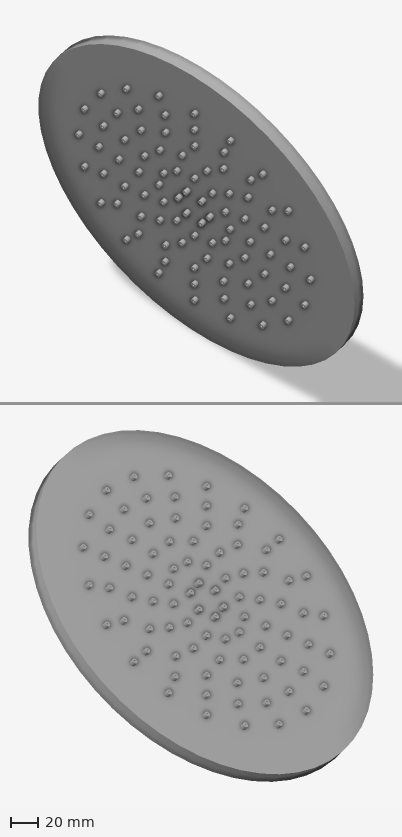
import cadquery as cq

disc_diameter = 300.0
disc_thickness = 10.5

collar_diameter = 36.0
collar_length = 17.0
neck_base_diameter = 19.2
neck_length = 4.8
socket_diameter = 23.5
socket_length = 12.0

nozzle_diameter = 4.5
nozzle_length = 3.5
inner_nozzle_length = 4.5
jet_diameter = 1.5
inner_ring_radius = 14.7
outer_ring_radius = 109.8
nozzles_per_ring = [6, 12, 14, 16, 20, 20]
ring_pitch = (outer_ring_radius - inner_ring_radius) / (len(nozzles_per_ring) - 1)


def cylinder_along_y(diameter, y_start, length):
    """Solid cylinder on the Y axis, running toward +Y from y_start."""
    start_plane = cq.Workplane("XZ", origin=(0, y_start, 0))
    return start_plane.circle(diameter / 2).extrude(-length)


def make_connector():
    """Collar, conical neck and socket cylinder as one revolved profile."""
    collar_end = disc_thickness + collar_length
    neck_end = collar_end + neck_length
    socket_end = neck_end + socket_length
    return (
        cq.Workplane("XY")
        .moveTo(0, disc_thickness)
        .lineTo(collar_diameter / 2, disc_thickness)
        .lineTo(collar_diameter / 2, collar_end)
        .lineTo(neck_base_diameter / 2, collar_end)
        .lineTo(socket_diameter / 2, neck_end)
        .lineTo(socket_diameter / 2, socket_end)
        .lineTo(0, socket_end)
        .close()
        .revolve(360, (0, 0, 0), (0, 1, 0))
    )


def make_nozzle_ring(radius, count, length):
    """Evenly spaced tubular nozzles standing on the spray face."""
    return (
        cq.Workplane("XZ")
        .polarArray(radius, 0, 360, count)
        .circle(nozzle_diameter / 2)
        .circle(jet_diameter / 2)
        .extrude(length)
    )


result = cylinder_along_y(disc_diameter, 0, disc_thickness).union(make_connector())
for ring, count in enumerate(nozzles_per_ring):
    length = inner_nozzle_length if ring == 0 else nozzle_length
    radius = inner_ring_radius + ring * ring_pitch
    result = result.union(make_nozzle_ring(radius, count, length))